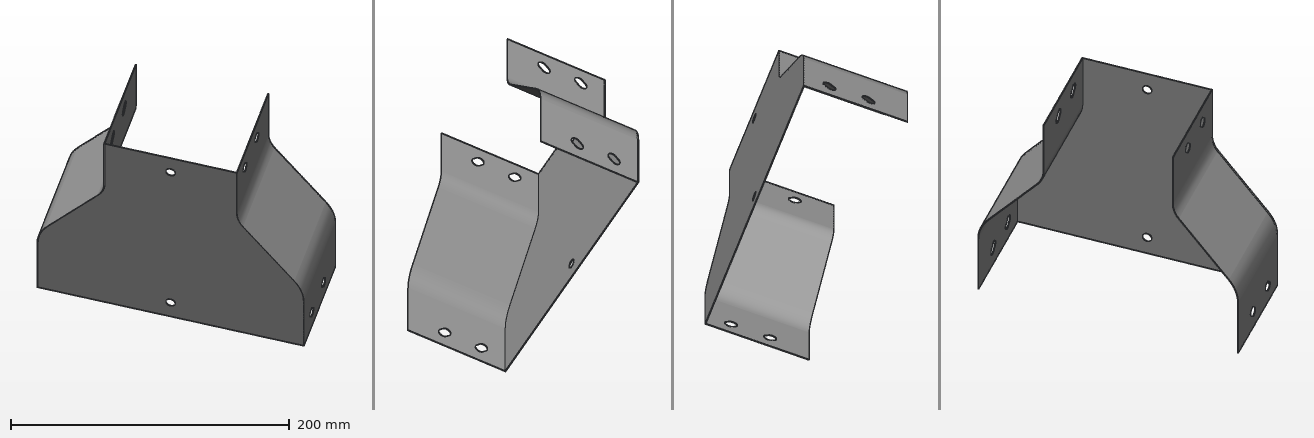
import cadquery as cq

WIDTH = 200.0
DEPTH = 80.0
HEIGHT = 170.0

NECK_WIDTH = 100.0
TAPER_BOTTOM_Z = 58.8
TAPER_TOP_Z = 119.0
SHOULDER_RADIUS = 30.8
NECK_RADIUS = 19.5

SHEET = 0.75

HOLE_DIAMETER = 7.0
HOLE_END_DISTANCE = 15.0

SLOT_WIDTH = 7.0
SLOT_LENGTH = 11.0
SLOT_ANGLE = 45.0
SLOT_DEPTHS = (20.0, 50.0)

END_ROW_HEIGHTS = (HOLE_END_DISTANCE, HEIGHT - HOLE_END_DISTANCE)


def make_tapered_block():
    """Solid with the tapered outline, extruded from the front face to the back."""
    half_width = WIDTH / 2
    half_neck = NECK_WIDTH / 2
    outline = [
        (-half_width, 0),
        (half_width, 0),
        (half_width, TAPER_BOTTOM_Z),
        (half_neck, TAPER_TOP_Z),
        (half_neck, HEIGHT),
        (-half_neck, HEIGHT),
        (-half_neck, TAPER_TOP_Z),
        (-half_width, TAPER_BOTTOM_Z),
    ]
    block = cq.Workplane("XZ").polyline(outline).close().extrude(-DEPTH)
    for corner_z, radius in ((TAPER_BOTTOM_Z, SHOULDER_RADIUS), (TAPER_TOP_Z, NECK_RADIUS)):
        corner_band = cq.selectors.BoxSelector(
            (-WIDTH, 0, corner_z - radius), (WIDTH, DEPTH, corner_z + radius)
        )
        block = block.edges("|Y").edges(corner_band).fillet(radius)
    return block


def make_shell():
    """Thin front plate and side walls, open at the back, top and bottom."""
    return make_tapered_block().faces(">Y or >Z or <Z").shell(-SHEET)


def make_plate_holes():
    """Cutters for the round holes on the centre line of the front plate."""
    centres = [(0, z) for z in END_ROW_HEIGHTS]
    return cq.Workplane("XZ").pushPoints(centres).circle(HOLE_DIAMETER / 2).extrude(-DEPTH / 2)


def make_wall_slots(side):
    """Slot cutters for one wall; side is -1 for the left wall and 1 for the right."""
    centres = [(y, z) for y in SLOT_DEPTHS for z in END_ROW_HEIGHTS]
    return (
        cq.Workplane("YZ")
        .pushPoints(centres)
        .slot2D(SLOT_LENGTH, SLOT_WIDTH, -side * SLOT_ANGLE)
        .extrude(side * WIDTH)
    )


result = make_shell().cut(make_plate_holes())
for wall_side in (-1, 1):
    result = result.cut(make_wall_slots(wall_side))